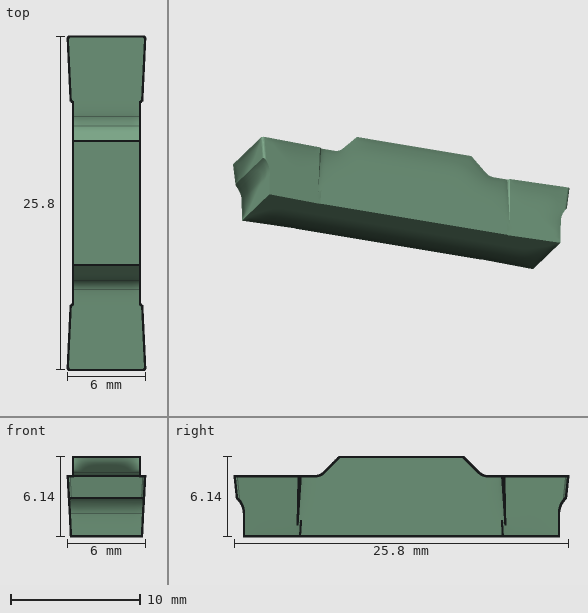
import cadquery as cq
import math


length = 25.8
height = 6.14
edge_width = 6.0
body_width = 5.2

ridge_top_length = 9.58
rake_height = 4.66
ramp_angle = math.radians(45)
ramp_foot_radius = 1.0

flank_depth = 1.68
flank_angle = math.radians(6)
seat_inset = 0.72
undercut_angle = math.radians(48)
corner_radius = 0.2

side_taper = math.tan(math.radians(2.72))
head_overlap_length = 6.2

step_lean = math.tan(math.radians(3.8))
step_root_at_rake = 5.12
body_start_at_seat = 5.06

half_length = length / 2
half_ridge = ridge_top_length / 2
half_body = body_width / 2
half_edge = edge_width / 2 + corner_radius * side_taper


def side_profile():
    """The +Y half of the YZ outline, extruded as wide as the cutting edge."""
    ridge_rise = height - rake_height
    ramp_corner = half_ridge + ridge_rise / math.tan(ramp_angle)
    foot_tangent = ramp_foot_radius * math.tan(ramp_angle / 2)
    foot_outer = ramp_corner + foot_tangent
    foot_mid_y = foot_outer - ramp_foot_radius * math.sin(ramp_angle / 2)
    foot_mid_z = rake_height + ramp_foot_radius * (1 - math.cos(ramp_angle / 2))
    foot_inner_y = ramp_corner - foot_tangent * math.cos(ramp_angle)
    foot_inner_z = rake_height + foot_tangent * math.sin(ramp_angle)

    seat_y = half_length - seat_inset
    flank_y = half_length - flank_depth * math.tan(flank_angle)
    flank_z = rake_height - flank_depth
    undercut_radius = (flank_y - seat_y) / (1 - math.cos(undercut_angle))
    undercut_start_z = flank_z - undercut_radius * math.sin(undercut_angle)
    undercut_mid_y = seat_y + undercut_radius * (1 - math.cos(undercut_angle / 2))
    undercut_mid_z = undercut_start_z + undercut_radius * math.sin(undercut_angle / 2)

    return (
        cq.Workplane("YZ", origin=(-half_edge, 0, 0))
        .moveTo(0, 0)
        .lineTo(seat_y, 0)
        .lineTo(seat_y, undercut_start_z)
        .threePointArc((undercut_mid_y, undercut_mid_z), (flank_y, flank_z))
        .lineTo(half_length, rake_height)
        .lineTo(foot_outer, rake_height)
        .threePointArc((foot_mid_y, foot_mid_z), (foot_inner_y, foot_inner_z))
        .lineTo(half_ridge, height)
        .lineTo(0, height)
        .close()
        .extrude(2 * half_edge)
    )


def ruled_block(bottom_points, top_points):
    """Flat-sided block between an XY outline at the seat and one at the rake face."""
    return (
        cq.Workplane("XY")
        .polyline(bottom_points)
        .close()
        .workplane(offset=rake_height)
        .polyline(top_points)
        .close()
        .loft(ruled=True)
    )


def head_outline(z):
    """Tapered XY outline of the head at height z."""
    outer_half = half_edge - side_taper * (rake_height - z)
    inner_half = outer_half - side_taper * head_overlap_length
    inner_y = half_length - head_overlap_length
    return [
        (-outer_half, half_length),
        (outer_half, half_length),
        (inner_half, inner_y),
        (-inner_half, inner_y),
    ]


def step_outline(z):
    """XY outline at height z of the material removed beside the body, behind the head."""
    root_y = half_length - step_root_at_rake + step_lean * (rake_height - z)
    inner_y = half_length - head_overlap_length
    step_width = half_edge - half_body
    return [
        (half_body, root_y),
        (half_edge, root_y + step_width),
        (half_edge, inner_y),
        (half_body, inner_y),
    ]


def cutting_head(profile):
    """Head at the +Y end with rounded cutting corners and a step down to the body."""
    head = profile.intersect(ruled_block(head_outline(0), head_outline(rake_height)))
    flank_middle = (
        half_length - flank_depth * math.tan(flank_angle) / 2,
        rake_height - flank_depth / 2,
    )
    flank_half = half_edge - side_taper * flank_depth / 2
    for side in (-1, 1):
        corner = cq.NearestToPointSelector((side * flank_half, *flank_middle))
        head = head.edges(corner).fillet(corner_radius)
    step = ruled_block(step_outline(0), step_outline(rake_height))
    return head.cut(step).cut(step.mirror("YZ"))


def body_half(profile):
    """Straight-sided +Y half of the body, ending on a leaning face."""
    seat_end = half_length - body_start_at_seat
    top_end = seat_end - step_lean * rake_height
    block = (
        cq.Workplane("YZ", origin=(-half_body, 0, 0))
        .polyline([(0, 0), (seat_end, 0), (top_end, rake_height), (top_end, height), (0, height)])
        .close()
        .extrude(body_width)
    )
    return profile.intersect(block)


half_profile = side_profile()
half_insert = body_half(half_profile).union(cutting_head(half_profile))
result = half_insert.union(half_insert.mirror("XZ")).clean()